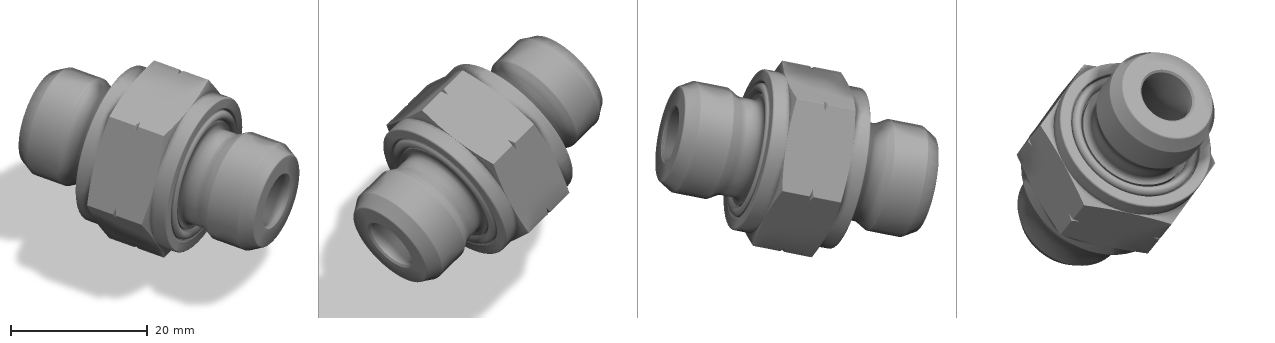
import cadquery as cq
import math


HALF_LENGTH = 39.0 / 2
HEX_HALF_LENGTH = 5.0
FLANGE_FACE = 7.5

BORE_DIAMETER = 8.0
BORE_CHAMFER = 0.3
THREAD_RADIUS = 16.62 / 2
NECK_RADIUS = 14.6 / 2
CONE_ANGLE = math.radians(30)
LEAD_IN_LENGTH = 2.06
NECK_CONE_START = 12.37
TIP_FILLET = 0.3
LEAD_IN_FILLET = 0.25
RUN_OUT_FILLET = 0.4
NECK_CONE_FILLET = 1.4
NECK_ROOT_FILLET = 0.58

FLANGE_RADIUS = 23.95 / 2
FLANGE_FILLET = 0.25

HEX_ACROSS_FLATS = 24.0
HEX_CHAMFER_ANGLE = math.radians(15)
HEX_SHARP_RADIUS = HEX_ACROSS_FLATS / 2 / math.cos(math.radians(30))
HEX_CORNER_RADIUS = 27.68 / 2
NOTCH_DEPTH = 0.5
NOTCH_HALF_ANGLE = math.radians(30)

GROOVE_OUTER_RADIUS = 20.34 / 2
GROOVE_INNER_RADIUS = 16.66 / 2
RING_CLEARANCE = 0.2
RING_SECTION_RADIUS = (GROOVE_OUTER_RADIUS - GROOVE_INNER_RADIUS) / 2 - RING_CLEARANCE
RING_MEAN_RADIUS = (GROOVE_OUTER_RADIUS + GROOVE_INNER_RADIUS) / 2
RING_PROTRUSION = 0.35
RING_CENTRE = FLANGE_FACE + RING_PROTRUSION - RING_SECTION_RADIUS
GROOVE_FLOOR = RING_CENTRE - RING_SECTION_RADIUS
GROOVE_EDGE_FILLET = 0.25


def revolve_about_x(sketch):
    """Turn a closed profile, drawn as (x, radius), fully around the X axis."""
    return sketch.revolve(360, (0, 0, 0), (1, 0, 0))


def edges_at(body, x, radius):
    """Select the circular edge of a turned body at the given axial place and radius."""
    reach = 0.01
    return body.edges(
        cq.selectors.BoxSelector(
            (x - reach, -radius - reach, -radius - reach),
            (x + reach, radius + reach, radius + reach),
            boundingbox=True,
        )
    ).edges(cq.selectors.RadiusNthSelector(-1))


def make_turned_half():
    """One stub with its flange, on the +X side, as a solid of revolution without the bore."""
    tip_radius = THREAD_RADIUS - LEAD_IN_LENGTH * math.tan(CONE_ANGLE)
    lead_in_end = HALF_LENGTH - LEAD_IN_LENGTH
    neck_cone_end = NECK_CONE_START - (THREAD_RADIUS - NECK_RADIUS) / math.tan(CONE_ANGLE)
    half = revolve_about_x(
        cq.Workplane("XY").polyline([
            (0, 0),
            (0, FLANGE_RADIUS),
            (FLANGE_FACE, FLANGE_RADIUS),
            (FLANGE_FACE, NECK_RADIUS),
            (neck_cone_end, NECK_RADIUS),
            (NECK_CONE_START, THREAD_RADIUS),
            (lead_in_end, THREAD_RADIUS),
            (HALF_LENGTH, tip_radius),
            (HALF_LENGTH, 0),
        ]).close()
    )
    rounded_edges = [
        (HALF_LENGTH, tip_radius, TIP_FILLET),
        (lead_in_end, THREAD_RADIUS, LEAD_IN_FILLET),
        (NECK_CONE_START, THREAD_RADIUS, RUN_OUT_FILLET),
        (neck_cone_end, NECK_RADIUS, NECK_CONE_FILLET),
        (FLANGE_FACE, NECK_RADIUS, NECK_ROOT_FILLET),
        (FLANGE_FACE, FLANGE_RADIUS, FLANGE_FILLET),
    ]
    for x, radius, fillet in rounded_edges:
        half = edges_at(half, x, radius).fillet(fillet)
    return cut_ring_groove(half)


def cut_ring_groove(half):
    """Face groove that holds the O-ring, with a rounded outer rim."""
    groove = (
        cq.Workplane("YZ", origin=(GROOVE_FLOOR, 0, 0))
        .circle(GROOVE_OUTER_RADIUS)
        .circle(GROOVE_INNER_RADIUS)
        .extrude(FLANGE_FACE - GROOVE_FLOOR)
    )
    half = half.cut(groove)
    return edges_at(half, FLANGE_FACE, GROOVE_OUTER_RADIUS).fillet(GROOVE_EDGE_FILLET)


def make_hexagon():
    """Hexagon with blunted corners, two of them on Y, chamfered ends and a V notch around its corners."""
    hexagon = (
        cq.Workplane("YZ", origin=(-HEX_HALF_LENGTH, 0, 0))
        .polygon(6, 2 * HEX_SHARP_RADIUS)
        .extrude(2 * HEX_HALF_LENGTH)
    )
    flat_radius = HEX_ACROSS_FLATS / 2
    chamfer_length = (HEX_CORNER_RADIUS - flat_radius) * math.tan(HEX_CHAMFER_ANGLE)
    notch_half_width = NOTCH_DEPTH * math.tan(NOTCH_HALF_ANGLE)
    envelope = revolve_about_x(
        cq.Workplane("XY").polyline([
            (-HEX_HALF_LENGTH, 0),
            (-HEX_HALF_LENGTH, flat_radius),
            (-HEX_HALF_LENGTH + chamfer_length, HEX_CORNER_RADIUS),
            (-notch_half_width, HEX_CORNER_RADIUS),
            (0, HEX_CORNER_RADIUS - NOTCH_DEPTH),
            (notch_half_width, HEX_CORNER_RADIUS),
            (HEX_HALF_LENGTH - chamfer_length, HEX_CORNER_RADIUS),
            (HEX_HALF_LENGTH, flat_radius),
            (HEX_HALF_LENGTH, 0),
        ]).close()
    )
    return hexagon.intersect(envelope)


def make_fitting():
    """Hexagon, both turned halves and the chamfered through bore as one solid."""
    half = make_turned_half()
    blank = make_hexagon().union(half).union(half.mirror("YZ"))
    bore = (
        cq.Workplane("YZ", origin=(-HALF_LENGTH, 0, 0))
        .circle(BORE_DIAMETER / 2)
        .extrude(2 * HALF_LENGTH)
    )
    fitting = blank.cut(bore)
    for side in (-1, 1):
        fitting = edges_at(fitting, side * HALF_LENGTH, BORE_DIAMETER / 2).chamfer(BORE_CHAMFER)
    return fitting


def make_o_ring(side):
    """O-ring seated in the groove of the flange on the given side of the YZ plane."""
    return revolve_about_x(
        cq.Workplane("XY")
        .moveTo(side * RING_CENTRE, RING_MEAN_RADIUS)
        .circle(RING_SECTION_RADIUS)
    )


fitting = make_fitting()
o_rings = [make_o_ring(side) for side in (-1, 1)]

result = cq.Compound.makeCompound([fitting.val(), *[ring.val() for ring in o_rings]])